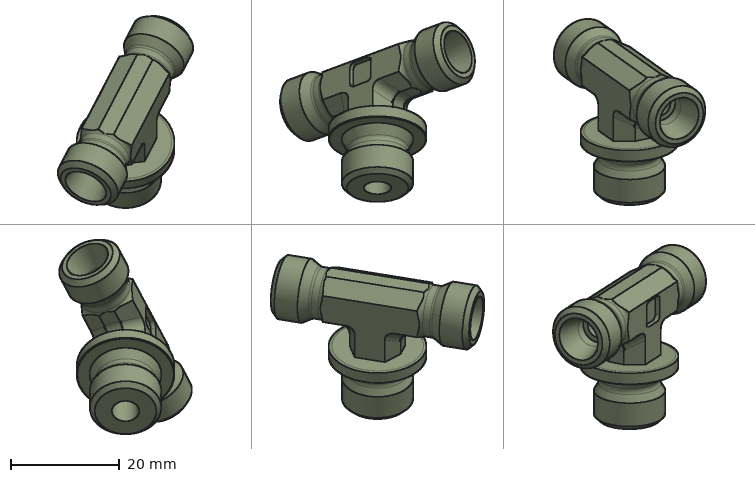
import cadquery as cq
import math


run_length = 38.0
run_end_y = run_length / 2
thread_radius = 12.0 / 2
thread_chamfer = 1.0
thread_inner_y = 13.6
neck_radius = 9.7 / 2
neck_cone_angle = math.radians(30)
neck_fillet = 1.0

through_bore_diameter = 4.0
tube_bore_diameter = 6.0
tube_bore_depth = 7.0
cone_mouth_radius = 4.05
cone_half_angle = math.radians(12)
stud_bore_diameter = 5.0

body_across_flats = 10.0
body_height = 9.75
body_half_length = 9.05
neck_start_y = body_half_length + neck_fillet
branch_fillet = 2.0
hexagon_slope = math.tan(math.radians(30))
plane_tolerance = 3.8e-07

flange_radius = 18.0 / 2
flange_top_z = -9.5
flange_bottom_z = -11.97
flange_bevel_width = 0.57
flange_bevel_height = 0.15
flange_bottom_chamfer = 0.15

stud_radius = 13.15 / 2
stud_end_z = -22.0
stud_chamfer = 0.9
groove_z = -14.45
groove_root_radius = 5.6
groove_arc_radius = 1.25
groove_upper_angle = math.radians(25)
groove_lower_angle = math.radians(30)

badge_size = 4.98
badge_corner_radius = 1.0
badge_depth = 1.0


def body_section(plane):
    """Bar section on a plane whose local X is the part's X."""
    half_flats = body_across_flats / 2
    half_height = body_height / 2
    side_height = half_flats * hexagon_slope
    top_width = half_flats - (half_height - side_height) / hexagon_slope
    quarter = [(half_flats, side_height), (top_width, half_height)]
    upper = quarter + [(-x, y) for x, y in reversed(quarter)]
    lower = [(-x, -y) for x, y in upper]
    return cq.Workplane(plane).polyline(upper + lower).close()


def make_body():
    run = body_section("XZ").extrude(neck_start_y, both=True)
    stem = body_section("XY").extrude(flange_top_z)
    body = run.union(stem)
    joints = [
        edge
        for edge in body.edges().vals()
        if abs(abs(edge.Center().y) + edge.Center().z) < plane_tolerance
    ]
    return body.newObject(joints).fillet(branch_fillet)


def shoulder_cutter():
    """Ring that rounds the +Y end of the body into the neck."""
    outer_radius = neck_radius + neck_fillet
    inset = neck_fillet * math.sqrt(0.5)
    return (
        cq.Workplane("XY")
        .moveTo(neck_radius, neck_start_y)
        .threePointArc(
            (outer_radius - inset, neck_start_y - inset),
            (outer_radius, body_half_length),
        )
        .lineTo(outer_radius, neck_start_y)
        .close()
        .revolve(360, (0, 0, 0), (0, 1, 0))
    )


def run_end():
    """Neck and thread blank on the +Y side."""
    cone_length = (thread_radius - neck_radius) / math.tan(neck_cone_angle)
    arc_start_y = thread_inner_y - cone_length - neck_fillet * math.tan(neck_cone_angle / 2)

    def neck_arc_point(angle):
        return (
            neck_radius + neck_fillet * (1 - math.cos(angle)),
            arc_start_y + neck_fillet * math.sin(angle),
        )

    return (
        cq.Workplane("XY")
        .moveTo(0, neck_start_y)
        .lineTo(neck_radius, neck_start_y)
        .lineTo(neck_radius, arc_start_y)
        .threePointArc(neck_arc_point(neck_cone_angle / 2), neck_arc_point(neck_cone_angle))
        .lineTo(thread_radius, thread_inner_y)
        .lineTo(thread_radius, run_end_y - thread_chamfer)
        .lineTo(thread_radius - thread_chamfer, run_end_y)
        .lineTo(0, run_end_y)
        .close()
        .revolve(360, (0, 0, 0), (0, 1, 0))
    )


def tube_socket():
    """Tapered mouth and tube seat of the +Y run end."""
    seat_radius = tube_bore_diameter / 2
    cone_length = (cone_mouth_radius - seat_radius) / math.tan(cone_half_angle)
    return (
        cq.Workplane("XY")
        .moveTo(0, run_end_y)
        .lineTo(cone_mouth_radius, run_end_y)
        .lineTo(seat_radius, run_end_y - cone_length)
        .lineTo(seat_radius, run_end_y - tube_bore_depth)
        .lineTo(0, run_end_y - tube_bore_depth)
        .close()
        .revolve(360, (0, 0, 0), (0, 1, 0))
    )


def make_flange_and_stud():
    arc_centre_radius = groove_root_radius + groove_arc_radius

    def groove_arc_point(angle):
        """Point on the groove arc, with the angle measured up from the root."""
        return (
            arc_centre_radius - groove_arc_radius * math.cos(angle),
            groove_z + groove_arc_radius * math.sin(angle),
        )

    upper_radius, upper_z = groove_arc_point(groove_upper_angle)
    lower_radius, lower_z = groove_arc_point(-groove_lower_angle)
    cone_top_radius = upper_radius + (flange_bottom_z - upper_z) * math.tan(groove_upper_angle)
    thread_top_z = lower_z - (stud_radius - lower_radius) / math.tan(groove_lower_angle)
    return (
        cq.Workplane("XZ")
        .moveTo(0, flange_top_z)
        .lineTo(flange_radius - flange_bevel_width, flange_top_z)
        .lineTo(flange_radius, flange_top_z - flange_bevel_height)
        .lineTo(flange_radius, flange_bottom_z + flange_bottom_chamfer)
        .lineTo(flange_radius - flange_bottom_chamfer, flange_bottom_z)
        .lineTo(cone_top_radius, flange_bottom_z)
        .lineTo(upper_radius, upper_z)
        .threePointArc(groove_arc_point(0), (lower_radius, lower_z))
        .lineTo(stud_radius, thread_top_z)
        .lineTo(stud_radius, stud_end_z + stud_chamfer)
        .lineTo(stud_radius - stud_chamfer, stud_end_z)
        .lineTo(0, stud_end_z)
        .close()
        .revolve(360, (0, 0, 0), (0, 1, 0))
    )


def badge_recess():
    return (
        cq.Workplane("YZ", origin=(-body_across_flats / 2, 0, 0))
        .rect(badge_size, badge_size)
        .extrude(badge_depth)
        .edges("|X")
        .fillet(badge_corner_radius)
    )


def both_run_ends(feature):
    """The +Y feature together with its mirror image at -Y."""
    return feature.union(feature.mirror("XZ"))


run_bore = cq.Workplane("XZ").circle(through_bore_diameter / 2).extrude(run_end_y, both=True)
branch_bore = cq.Workplane("XY").circle(stud_bore_diameter / 2).extrude(stud_end_z)

result = (
    make_body()
    .cut(both_run_ends(shoulder_cutter()))
    .union(both_run_ends(run_end()))
    .union(make_flange_and_stud())
    .cut(run_bore)
    .cut(both_run_ends(tube_socket()))
    .cut(branch_bore)
    .cut(badge_recess())
)